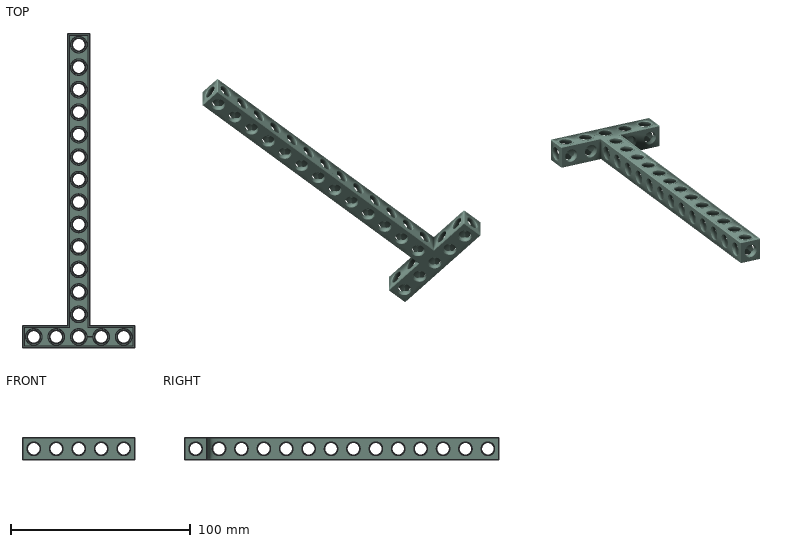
import cadquery as cq

LENGTH = 175.0
STEM_CELLS = 14
CROSS_CELLS = 5
PITCH = LENGTH / STEM_CELLS
BAR = PITCH
CROSS_LENGTH = CROSS_CELLS * PITCH

HOLE_DIAMETER = 7.0
RIM_WIDTH = 1.1
RECESS_DEPTH = 0.2
COLLAR_DIAMETER = HOLE_DIAMETER + 2 * RIM_WIDTH
SLIT_WIDTH = 0.2
SLIT_DEPTH = 0.2
CROSSWISE_SHIFT = 0.5
CHAMFER = 0.3

CROSS_POSITIONS = [(i - (CROSS_CELLS - 1) / 2) * PITCH for i in range(CROSS_CELLS)]
STEM_POSITIONS = [i * PITCH for i in range(STEM_CELLS)]
CROSSWISE_FIRST = PITCH + CROSSWISE_SHIFT
CROSSWISE_PITCH = (STEM_POSITIONS[-1] - CROSSWISE_FIRST) / (STEM_CELLS - 2)
CROSSWISE_POSITIONS = [CROSSWISE_FIRST + i * CROSSWISE_PITCH for i in range(STEM_CELLS - 1)]
VERTICAL_HOLES = [(x, 0) for x in CROSS_POSITIONS] + [(0, y) for y in STEM_POSITIONS[1:]]

CROSS_END = CROSS_LENGTH / 2
FRONT = -BAR / 2
STEM_END = FRONT + LENGTH
MID_HEIGHT = BAR / 2


def tee(inset, bottom, height):
    """T-shaped block whose sides are all moved inward by the inset."""
    end = CROSS_END - inset
    half_width = BAR / 2 - inset
    half_outline = [
        (0, -half_width),
        (end, -half_width),
        (end, half_width),
        (half_width, half_width),
        (half_width, STEM_END - inset),
        (0, STEM_END - inset),
    ]
    return cq.Workplane("XY", origin=(0, 0, bottom)).polyline(half_outline).mirrorY().extrude(height)


def beam_block():
    """Solid T with every edge bevelled except the two inner corners."""
    inner_corners = cq.selectors.BoxSelector((-BAR, 0, MID_HEIGHT / 2), (BAR, BAR, BAR - MID_HEIGHT / 2))
    outer_edges = cq.selectors.InverseSelector(inner_corners)
    return tee(0, 0, BAR).edges(outer_edges).chamfer(CHAMFER)


def vertical_cylinders(diameter, bottom, height):
    """One upright cylinder at every hole of the T."""
    return (
        cq.Workplane("XY", origin=(0, 0, bottom))
        .pushPoints(VERTICAL_HOLES)
        .circle(diameter / 2)
        .extrude(height)
    )


def bevelled_drill(start, end):
    """Cutter for a through hole from start to end, widened by a bevel at both mouths."""
    start = cq.Vector(*start)
    axis = cq.Vector(*end) - start
    radius = HOLE_DIAMETER / 2
    drill = cq.Solid.makeCylinder(radius, axis.Length, start, axis)
    near_mouth = cq.Solid.makeCone(radius + CHAMFER, radius, CHAMFER, start, axis)
    far_mouth = cq.Solid.makeCone(radius + CHAMFER, radius, CHAMFER, start + axis, -axis)
    return drill.fuse(near_mouth, far_mouth)


def recess():
    """Shallow T-shaped pocket in the top face that leaves a collar around each hole."""
    bottom = BAR - RECESS_DEPTH
    return tee(RIM_WIDTH, bottom, RECESS_DEPTH).cut(
        vertical_cylinders(COLLAR_DIAMETER, bottom, RECESS_DEPTH)
    )


def floor_slit():
    """Slit along X between the middle collar of the crossbar and the next one towards +X."""
    slit_length = PITCH - COLLAR_DIAMETER
    return cq.Workplane("XY", origin=(PITCH / 2, 0, BAR - RECESS_DEPTH)).box(
        slit_length, SLIT_WIDTH, 2 * SLIT_DEPTH
    )


vertical_drills = [bevelled_drill((x, y, 0), (x, y, BAR)) for x, y in VERTICAL_HOLES]

lengthwise_drills = [
    bevelled_drill((x, FRONT, MID_HEIGHT), (x, -FRONT if x else STEM_END, MID_HEIGHT))
    for x in CROSS_POSITIONS
]

crosswise_drills = [bevelled_drill((-CROSS_END, 0, MID_HEIGHT), (CROSS_END, 0, MID_HEIGHT))]
for y in CROSSWISE_POSITIONS:
    crosswise_drills.append(bevelled_drill((-BAR / 2, y, MID_HEIGHT), (BAR / 2, y, MID_HEIGHT)))

result = beam_block().cut(recess()).cut(floor_slit())
for drill in vertical_drills + lengthwise_drills + crosswise_drills:
    result = result.cut(cq.Workplane(drill))